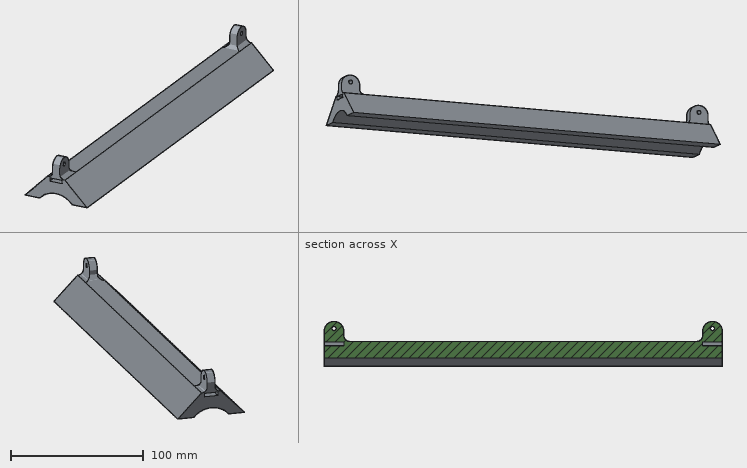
import cadquery as cq

length = 300.0
base_width = 53.0
body_height = 19.0
top_width = base_width - 2 * body_height
groove_width = 27.5
groove_height = 6.3

total_height = 34.0
lug_length = 15.0
lug_thickness = 6.3
lug_radius = lug_length / 2
lug_axis_height = total_height - lug_radius
flare_radius = 4.2
hole_diameter = 3.0
hole_height = 28.5

slot_width = 10.5
slot_height = 2.7
slot_floor = 15.5
slot_depth = lug_length


def make_rail():
    """Trapezoidal rail with a shallow round groove along its underside."""
    return (
        cq.Workplane("XZ", origin=(0, length / 2, 0))
        .moveTo(-base_width / 2, 0)
        .lineTo(-top_width / 2, body_height)
        .lineTo(top_width / 2, body_height)
        .lineTo(base_width / 2, 0)
        .lineTo(groove_width / 2, 0)
        .threePointArc((0, groove_height), (-groove_width / 2, 0))
        .close()
        .extrude(length)
    )


def make_lug():
    """Lug at the -Y end, flared into the rail on three sides with mitred corners."""
    half_thickness = lug_thickness / 2
    foot = half_thickness + flare_radius
    flare_top = body_height + flare_radius
    root = body_height - flare_radius / 2
    outer_end = -length / 2
    inner_end = outer_end + lug_length

    across = (
        cq.Workplane("XZ", origin=(0, inner_end + flare_radius, 0))
        .moveTo(-foot, root)
        .lineTo(-foot, body_height)
        .radiusArc((-half_thickness, flare_top), -flare_radius)
        .lineTo(-half_thickness, total_height)
        .lineTo(half_thickness, total_height)
        .lineTo(half_thickness, flare_top)
        .radiusArc((foot, body_height), -flare_radius)
        .lineTo(foot, root)
        .close()
        .extrude(lug_length + flare_radius)
    )
    along = (
        cq.Workplane("YZ")
        .moveTo(outer_end, root)
        .lineTo(outer_end, lug_axis_height)
        .threePointArc((outer_end + lug_radius, total_height), (inner_end, lug_axis_height))
        .lineTo(inner_end, flare_top)
        .radiusArc((inner_end + flare_radius, body_height), -flare_radius)
        .lineTo(inner_end + flare_radius, root)
        .close()
        .extrude(foot, both=True)
    )
    hole = (
        cq.Workplane("YZ")
        .center(outer_end + lug_radius, hole_height)
        .circle(hole_diameter / 2)
        .extrude(lug_thickness, both=True)
    )
    return across.intersect(along).cut(hole)


def make_slot():
    """Cutter for the blind slot in the -Y end face."""
    return (
        cq.Workplane("XY", origin=(0, (slot_depth - length) / 2, slot_floor))
        .box(slot_width, slot_depth, slot_height, centered=(True, True, False))
    )


lug = make_lug()
slot = make_slot()
result = make_rail().union(lug).union(lug.mirror("XZ")).cut(slot).cut(slot.mirror("XZ"))